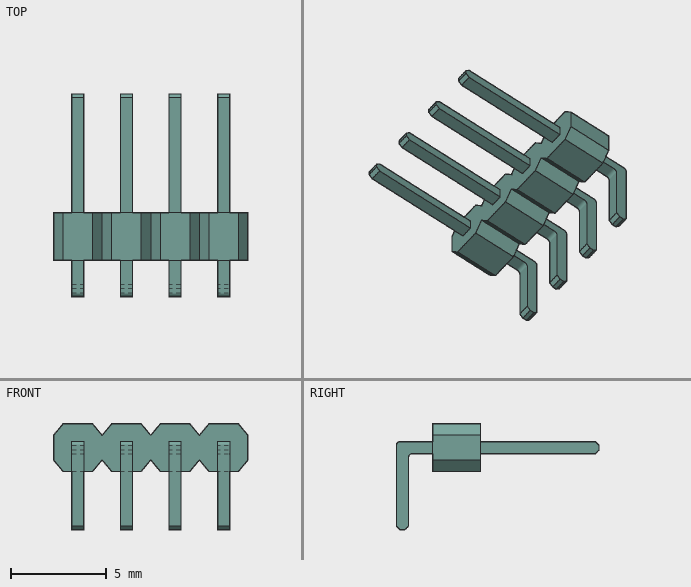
import cadquery as cq

pin_count = 4
pitch = 2.54

housing_height = 2.5
housing_depth = 2.5
bevel_x = 0.5
bevel_z = 0.6

pin_size = 0.64
rear_reach = 6.2
front_reach = 1.9
overall_height = 5.55
bend_radius = 0.2
tip_chamfer = 0.2

half_height = housing_height / 2
half_depth = housing_depth / 2
half_pin = pin_size / 2
pin_rear_y = half_depth + rear_reach
pin_front_y = -half_depth - front_reach
pin_bottom_z = half_height - overall_height
pin_positions = [(i - (pin_count - 1) / 2) * pitch for i in range(pin_count)]


def make_cell(x_center):
    """Octagonal housing cell around one pin."""
    half_width = pitch / 2
    flat_x = half_width - bevel_x
    flat_z = half_height - bevel_z
    outline = [
        (-half_width, -flat_z),
        (-flat_x, -half_height),
        (flat_x, -half_height),
        (half_width, -flat_z),
        (half_width, flat_z),
        (flat_x, half_height),
        (-flat_x, half_height),
        (-half_width, flat_z),
    ]
    cell = cq.Workplane("XZ").polyline(outline).close().extrude(half_depth, both=True)
    return cell.translate((x_center, 0, 0))


def make_pin(x_center):
    """L-shaped square pin with chamfered tips and a rounded bend."""
    inner_y = pin_front_y + pin_size
    outline = [
        (pin_rear_y, half_pin),
        (pin_front_y, half_pin),
        (pin_front_y, pin_bottom_z),
        (inner_y, pin_bottom_z),
        (inner_y, -half_pin),
        (pin_rear_y, -half_pin),
    ]
    pin = cq.Workplane("YZ").polyline(outline).close().extrude(half_pin, both=True)
    outer_corner = cq.selectors.NearestToPointSelector((0, pin_front_y, half_pin))
    inner_corner = cq.selectors.NearestToPointSelector((0, inner_y, -half_pin))
    for corner in (outer_corner, inner_corner):
        pin = pin.edges("|X").edges(corner).fillet(bend_radius)
    pin = pin.faces(">Y").edges("|X").chamfer(tip_chamfer)
    pin = pin.faces("<Z").edges("|X").chamfer(tip_chamfer)
    return pin.translate((x_center, 0, 0))


result = make_cell(pin_positions[0])
for x in pin_positions[1:]:
    result = result.union(make_cell(x))
result = result.clean()
for x in pin_positions:
    result = result.union(make_pin(x))